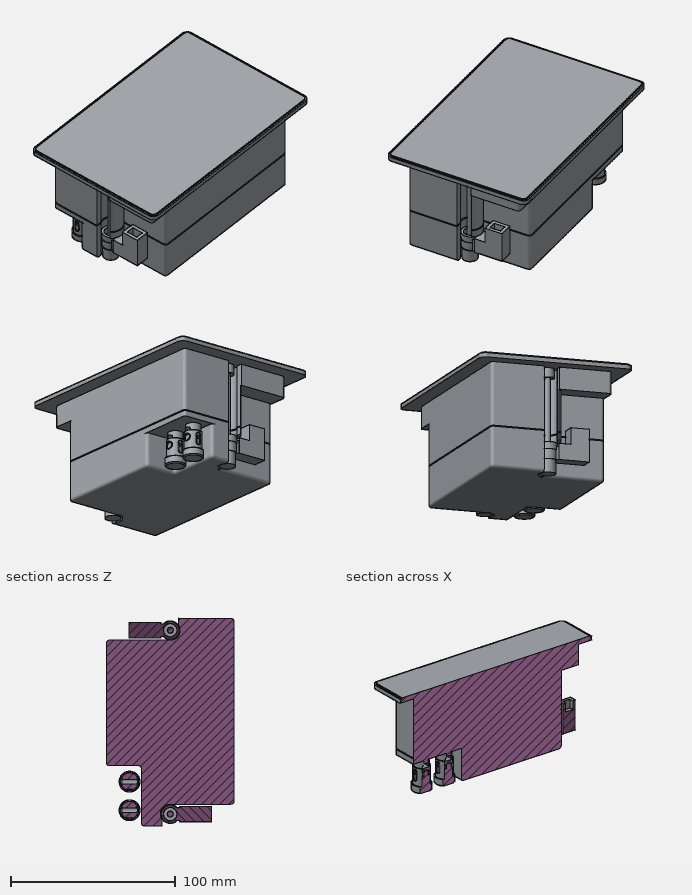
import cadquery as cq

plate_width = 98.0
plate_length = 146.1
total_height = 69.5
plate_bottom = 66.0
plate_corner_radius = 4.1
rim_height = 0.7
rim_inset = 1.0
rim_chamfer = 0.3
rim_top = total_height
rim_bottom = rim_top - rim_height

box_width = 77.9
box_length = 126.2
box_corner_radius = 2.0
box_bottom_radius = 1.9
box_half_width = box_width / 2
box_half_length = box_length / 2

groove_bottom = 25.7
groove_height = 0.6
groove_depth = 0.1

channel_y = -55.8
channel_bore = 11.7
channel_opening = 9.8
recess_top = 52.3
recess_back_y = -50.0
recess_edge_radius = 2.2
tube_radius = 8.2
tube_bottom = 20.9

screw_diameter = 3.7
screw_head_diameter = 8.0
screw_head_bottom = 60.3

hub_lower_diameter = 10.0
hub_middle_diameter = 11.0
hub_upper_diameter = 11.4
hub_bottom = 0.6
arm_bottom = 9.0
hub_step = 15.2
hub_top = 19.6
hub_counterbore = 8.0
arm_thickness = 9.5
arm_start_x = 5.7
arm_end_x = 25.1
arm_top = 19.1
finger_start_x = 13.3
finger_top = 29.5
finger_wall_x = 2.2
finger_wall_y = 2.2
finger_pocket_depth = 5.8
web_start_x = 3.7
web_thickness = 7.9
web_top = 17.5

pocket_wall_x = -17.7
pocket_wall_y = -26.6
pocket_top = 22.0
pocket_edge_radius = 2.0
pocket_inner_radius = 1.5
terminal_x = -24.7
terminal_ys = [-53.5, -36.1]
core_diameter = 9.5
sleeve_diameter = 11.0
sleeve_top = 17.2
flange_diameter = 12.7
flange_top = 5.4
flange_bottom = 0.6
flange_chamfer = 0.7
window_diameter = 5.0
window_z = 13.1
core_hole_z = 17.4
slot_width = 2.9
slot_height = 8.0
slot_z = 12.0
pin_hole_diameter = 1.8
pin_hole_depth = 1.5


def box_between(x_range, y_range, z_range):
    """Rectangular block from its limits along each axis."""
    sizes = [high - low for low, high in (x_range, y_range, z_range)]
    corner = (x_range[0], y_range[0], z_range[0])
    return cq.Workplane("XY").box(*sizes, centered=False).translate(corner)


def upright_cylinder(diameter, x, y, bottom, top):
    """Cylinder with a vertical axis."""
    return cq.Workplane("XY", origin=(x, y, bottom)).circle(diameter / 2).extrude(top - bottom)


def rounded_slab(width, length, corner_radius, bottom, top):
    """Centred slab with rounded vertical edges."""
    slab = cq.Workplane("XY", origin=(0, 0, bottom)).rect(width, length).extrude(top - bottom)
    return slab.edges("|Z").fillet(corner_radius)


def half_turn(body):
    """Copy of a body at the opposite end of the box."""
    return body.rotate((0, 0, 0), (0, 0, 1), 180)


def edge_near(body, x, y, z):
    """Vertical edge of the body closest to a point."""
    return body.edges("|Z").edges(cq.selectors.NearestToPointSelector((x, y, z)))


def make_plate():
    plate = rounded_slab(plate_width, plate_length, plate_corner_radius, plate_bottom, rim_bottom)
    rim = rounded_slab(
        plate_width - 2 * rim_inset,
        plate_length - 2 * rim_inset,
        plate_corner_radius - rim_inset,
        rim_bottom,
        rim_top,
    )
    rim = rim.faces(">Z").edges().chamfer(rim_chamfer)
    return plate.union(rim)


def make_box_shell():
    """Box with its two claw recesses and its terminal pocket, all outer edges rounded."""
    blank = rounded_slab(box_width, box_length, box_corner_radius, 0, plate_bottom)
    recess = box_between((0, box_half_width), (-box_half_length, recess_back_y), (0, recess_top))
    pocket = box_between(
        (-box_half_width, pocket_wall_x), (-box_half_length, pocket_wall_y), (0, pocket_top)
    )
    shell = blank.cut(recess).cut(half_turn(recess)).cut(pocket)

    for side in (1, -1):
        corner = (side * box_half_width, side * recess_back_y, recess_top / 2)
        shell = edge_near(shell, *corner).fillet(recess_edge_radius)
    pocket_corners = [(pocket_wall_x, -box_half_length), (-box_half_width, pocket_wall_y)]
    for x, y in pocket_corners:
        shell = edge_near(shell, x, y, pocket_top / 2).fillet(pocket_edge_radius)
    shell = edge_near(shell, pocket_wall_x, pocket_wall_y, pocket_top / 2).fillet(pocket_inner_radius)
    shell = shell.faces("<Z").edges().fillet(box_bottom_radius)

    tube = upright_cylinder(2 * tube_radius, 0, channel_y, tube_bottom, recess_top).intersect(blank)
    return shell.union(tube).union(half_turn(tube))


def make_channel():
    """Cutter for the vertical screw channel, open through the end wall of the box."""
    bore = upright_cylinder(channel_bore, 0, channel_y, 0, plate_bottom)
    half_opening = channel_opening / 2
    opening = box_between(
        (-half_opening, half_opening), (-box_half_length, channel_y), (0, plate_bottom)
    )
    return bore.union(opening)


def cut_joint_groove(shell):
    """Shallow groove that follows the outline of the box at the joint height."""
    groove_top = groove_bottom + groove_height
    reach = (-box_length, box_length)
    slice_body = shell.intersect(box_between(reach, reach, (groove_bottom, groove_top)))
    outline = slice_body.faces("<Z").wires().val()
    inner_outlines = outline.offset2D(-groove_depth)
    core = cq.Workplane("XY", origin=(0, 0, groove_bottom)).add(inner_outlines)
    core = core.toPending().extrude(groove_height)
    return shell.cut(slice_body.cut(core))


def make_screw():
    head = upright_cylinder(screw_head_diameter, 0, channel_y, screw_head_bottom, plate_bottom)
    shank = upright_cylinder(screw_diameter, 0, channel_y, arm_bottom, plate_bottom)
    return head.union(shank)


def make_terminal(y):
    """Terminal post: a core inside a sleeve with windows, and a flange at the bottom."""
    sleeve = upright_cylinder(sleeve_diameter, terminal_x, y, flange_top, sleeve_top)
    window = (
        cq.Workplane("YZ", origin=(terminal_x, y, window_z))
        .circle(window_diameter / 2)
        .extrude(sleeve_diameter, both=True)
    )
    slot = (
        cq.Workplane("XZ", origin=(terminal_x, y, slot_z))
        .slot2D(slot_height, slot_width, 90)
        .extrude(sleeve_diameter)
    )
    sleeve = sleeve.cut(window).cut(slot)

    core = upright_cylinder(core_diameter, terminal_x, y, flange_top, pocket_top)
    flange = upright_cylinder(flange_diameter, terminal_x, y, flange_bottom, flange_top)
    flange = flange.faces("<Z").edges().chamfer(flange_chamfer)
    core_hole = (
        cq.Workplane("YZ", origin=(terminal_x, y, core_hole_z))
        .circle(window_diameter / 2)
        .extrude(core_diameter, both=True)
    )
    pin_hole = (
        cq.Workplane("XZ", origin=(terminal_x, y - core_diameter / 2 + pin_hole_depth, window_z))
        .circle(pin_hole_diameter / 2)
        .extrude(pin_hole_depth)
    )
    core = core.cut(core_hole).cut(pin_hole)
    return core.union(sleeve).union(flange)


def make_housing():
    channel = make_channel()
    screw = make_screw()
    shell = make_box_shell().cut(channel).cut(half_turn(channel))
    body = cut_joint_groove(shell).union(make_plate())
    body = body.union(screw).union(half_turn(screw))
    for y in terminal_ys:
        body = body.union(make_terminal(y))
    return body


def make_claw():
    """Clamping claw: a stepped hub on the screw with a side arm and an upright finger."""
    lower = upright_cylinder(hub_lower_diameter, 0, channel_y, hub_bottom, arm_bottom)
    middle = upright_cylinder(hub_middle_diameter, 0, channel_y, arm_bottom, hub_step)
    upper = upright_cylinder(hub_upper_diameter, 0, channel_y, hub_step, hub_top)
    hub = lower.union(middle).union(upper)

    arm_y = (channel_y - arm_thickness / 2, channel_y + arm_thickness / 2)
    web_y = (channel_y - web_thickness / 2, channel_y + web_thickness / 2)
    web = box_between((web_start_x, arm_start_x), web_y, (arm_bottom, web_top))
    arm = box_between((arm_start_x, arm_end_x), arm_y, (arm_bottom, arm_top))
    finger = box_between((finger_start_x, arm_end_x), arm_y, (arm_bottom, finger_top))
    finger_pocket = box_between(
        (finger_start_x + finger_wall_x, arm_end_x - finger_wall_x),
        (arm_y[0] + finger_wall_y, arm_y[1] - finger_wall_y),
        (finger_top - finger_pocket_depth, finger_top),
    )
    claw = hub.union(web).union(arm).union(finger).cut(finger_pocket)

    screw_hole = upright_cylinder(screw_diameter, 0, channel_y, arm_bottom, hub_top)
    counterbore = upright_cylinder(hub_counterbore, 0, channel_y, hub_step, hub_top)
    return claw.cut(screw_hole).cut(counterbore)


housing = make_housing()
claw = make_claw()
claws = [claw, half_turn(claw)]

result = cq.Compound.makeCompound([housing.val(), *[body.val() for body in claws]])